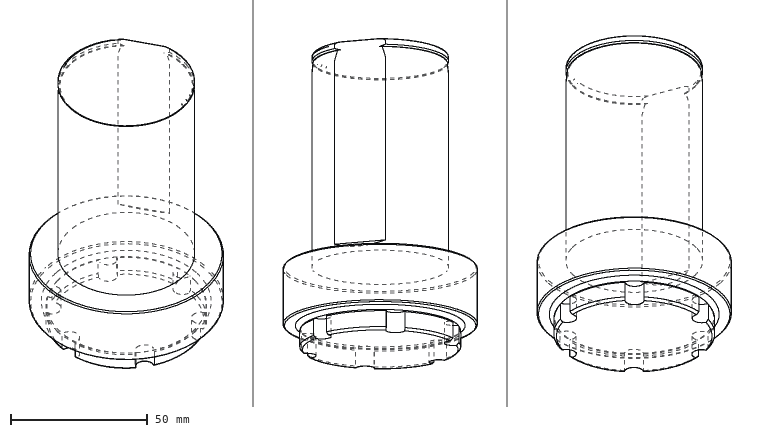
import cadquery as cq
import math

total_height = 111.0
flange_bottom = 9.0
flange_top = 31.0

flange_radius = 35.5
flange_chamfer = 0.5
collar_radius = 29.4
collar_chamfer = 1.0
flare_radius = 62.0 / 2
neck_radius = 29.1
neck_height = 7.5
collar_top = 7.0

shank_radius = 25.0
tip_round = 1.0
bead_bottom = 108.7
groove_bottom = 108.0
groove_radius = 24.2
lead_in_radius = 24.5
lead_in_bottom = 104.0

flat_offset = 23.0
flat_run_out_bottom = 32.9

notch_count = 6
notch_width = 7.0
notch_round_center = 28.4


def revolve_profile(profile):
    return profile.close().revolve(360, (0, 0, 0), (0, 1, 0))


def make_base():
    """Collar, slight neck, conical flare and flange."""
    profile = (
        cq.Workplane("XZ")
        .lineTo(collar_radius - collar_chamfer, 0)
        .lineTo(collar_radius, collar_chamfer)
        .lineTo(collar_radius, collar_top)
        .lineTo(neck_radius, neck_height)
        .lineTo(flare_radius, flange_bottom)
        .lineTo(flange_radius - flange_chamfer, flange_bottom)
        .lineTo(flange_radius, flange_bottom + flange_chamfer)
        .lineTo(flange_radius, flange_top - flange_chamfer)
        .lineTo(flange_radius - flange_chamfer, flange_top)
        .lineTo(0, flange_top)
    )
    return revolve_profile(profile)


def make_shank():
    """Cylinder with a tapered lead-in, a small groove and a rounded tip."""
    arc_offset = tip_round * (1 - math.sqrt(0.5))
    profile = (
        cq.Workplane("XZ")
        .moveTo(0, flange_bottom)
        .lineTo(shank_radius, flange_bottom)
        .lineTo(shank_radius, lead_in_bottom)
        .lineTo(lead_in_radius, groove_bottom)
        .lineTo(groove_radius, groove_bottom)
        .lineTo(shank_radius, bead_bottom)
        .lineTo(shank_radius, total_height - tip_round)
        .threePointArc(
            (shank_radius - arc_offset, total_height - arc_offset),
            (shank_radius - tip_round, total_height),
        )
        .lineTo(0, total_height)
    )
    return revolve_profile(profile)


def make_flat_cutter():
    """Material beyond the flat, sloping outwards at its lower end."""
    run_out = shank_radius - flat_offset
    return (
        cq.Workplane("YZ")
        .moveTo(shank_radius, flat_run_out_bottom)
        .lineTo(flat_offset, flat_run_out_bottom + run_out)
        .lineTo(flat_offset, total_height)
        .lineTo(shank_radius, total_height)
        .close()
        .extrude(shank_radius, both=True)
    )


def make_notch(angle):
    """Round-ended radial notch, open at the rim and the underside of the collar."""
    outer_length = flare_radius - notch_round_center
    straight = (
        cq.Workplane("XY")
        .center(notch_round_center + outer_length / 2, 0)
        .rect(outer_length, notch_width)
        .extrude(neck_height)
    )
    rounded = cq.Workplane("XY").center(notch_round_center, 0).circle(notch_width / 2).extrude(neck_height)
    return straight.union(rounded).rotate((0, 0, 0), (0, 0, 1), angle)


shank = make_shank().cut(make_flat_cutter())
result = make_base().union(shank)
for index in range(notch_count):
    result = result.cut(make_notch(index * 360 / notch_count))